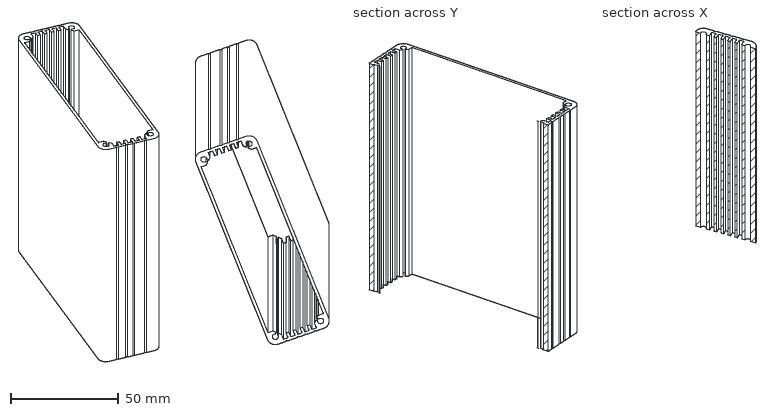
import cadquery as cq
import math

width = 103.0
depth = 30.5
length = 120.0
corner_radius = 4.0
wall = 1.5

block_size = 7.1
block_chamfer = 3.1
screw_inset = corner_radius
screw_diameter = 2.75
slit_width = 1.1

rib_count = 4
slot_width = 2.1
slot_pitch = 3.5
rib_width = slot_pitch - slot_width
rib_reach = 4.0

groove_radius = 0.55
groove_depth = 0.3
groove_positions = (7.0, 1.15, -2.45, -7.0)


def bar(x_size, y_size, x, y):
    """Full-length rectangular bar centred at (x, y)."""
    return cq.Workplane("XY").center(x, y).rect(x_size, y_size).extrude(length)


def make_tube():
    outer = bar(width, depth, 0, 0).edges("|Z").fillet(corner_radius)
    return outer.cut(bar(width - 2 * wall, depth - 2 * wall, 0, 0))


def make_corner_block(x_side, y_side):
    """Chamfered block filling one inner corner, overlapping the walls."""
    x_wall = width / 2 - wall
    y_wall = depth / 2 - wall
    x_inner = width / 2 - block_size
    y_inner = depth / 2 - block_size
    outline = [
        (x_wall, y_wall),
        (x_inner, y_wall),
        (x_inner, y_inner + block_chamfer),
        (x_inner + block_chamfer, y_inner),
        (x_wall, y_inner),
    ]
    points = [(x_side * x, y_side * y) for x, y in outline]
    return cq.Workplane("XY").polyline(points).close().extrude(length)


def make_screw_channel(x_side, y_side):
    """Round channel with a diagonal slit opening toward the cavity."""
    x = x_side * (width / 2 - screw_inset)
    y = y_side * (depth / 2 - screw_inset)
    channel = cq.Workplane("XY").center(x, y).circle(screw_diameter / 2).extrude(length)
    inward_angle = math.degrees(math.atan2(-y_side, -x_side))
    slit = bar(block_size, slit_width, block_size / 2, 0)
    slit = slit.rotate((0, 0, 0), (0, 0, 1), inward_angle).translate((x, y, 0))
    return channel.union(slit)


def add_corners(body):
    for x_side in (-1, 1):
        for y_side in (-1, 1):
            body = body.union(make_corner_block(x_side, y_side))
            body = body.cut(make_screw_channel(x_side, y_side))
    return body


def add_ribs(body):
    rib_length = rib_reach - wall
    rib_x = width / 2 - wall - rib_length / 2
    for x_side in (-1, 1):
        for index in range(rib_count):
            y = (index - (rib_count - 1) / 2) * slot_pitch
            body = body.union(bar(rib_length, rib_width, x_side * rib_x, y))
    return body


def cut_grooves(body):
    center_x = width / 2 + groove_radius - groove_depth
    centers = [(x_side * center_x, y) for x_side in (-1, 1) for y in groove_positions]
    grooves = cq.Workplane("XY").pushPoints(centers).circle(groove_radius).extrude(length)
    return body.cut(grooves)


result = cut_grooves(add_ribs(add_corners(make_tube())))